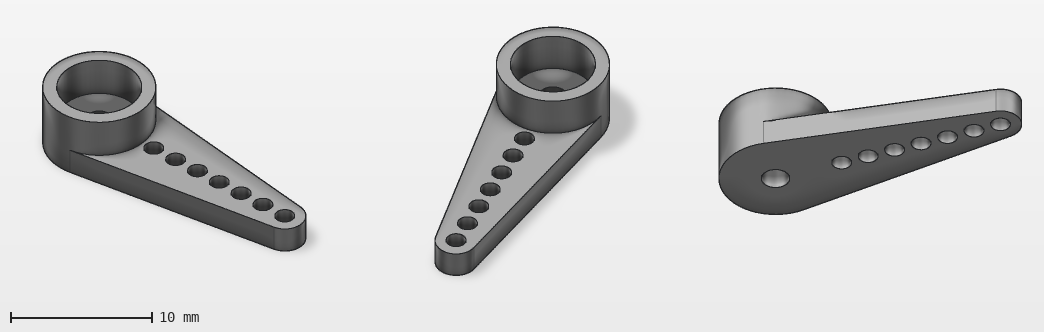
import cadquery as cq
import math

total_length = 22.5
hub_diameter = 8.0
hub_height = 5.0

bore_diameter = 6.0
floor_thickness = 2.0
shaft_hole_diameter = 2.0

arm_thickness = 2.0
tip_diameter = 3.0

link_hole_diameter = 1.4
link_hole_count = 7
first_link_hole_x = 5.0

hub_radius = hub_diameter / 2
tip_radius = tip_diameter / 2
tip_center_x = total_length - hub_radius - tip_radius
link_hole_pitch = (tip_center_x - first_link_hole_x) / (link_hole_count - 1)


def make_hub():
    return cq.Workplane("XY").circle(hub_radius).extrude(hub_height)


def make_arm():
    """Tapered arm whose straight sides are tangent to the hub and to the round tip."""
    tangent_cos = (hub_radius - tip_radius) / tip_center_x
    tangent_sin = math.sqrt(1 - tangent_cos**2)
    hub_x = hub_radius * tangent_cos
    hub_y = hub_radius * tangent_sin
    tip_x = tip_center_x + tip_radius * tangent_cos
    tip_y = tip_radius * tangent_sin
    return (
        cq.Workplane("XY")
        .moveTo(hub_x, -hub_y)
        .lineTo(tip_x, -tip_y)
        .threePointArc((tip_center_x + tip_radius, 0), (tip_x, tip_y))
        .lineTo(hub_x, hub_y)
        .threePointArc((-hub_radius, 0), (hub_x, -hub_y))
        .close()
        .extrude(arm_thickness)
    )


def make_hub_cavity():
    """Blind bore from the top, with a smaller shaft hole through its floor."""
    bore = (
        cq.Workplane("XY", origin=(0, 0, floor_thickness))
        .circle(bore_diameter / 2)
        .extrude(hub_height - floor_thickness)
    )
    shaft_hole = cq.Workplane("XY").circle(shaft_hole_diameter / 2).extrude(hub_height)
    return bore.union(shaft_hole)


def make_link_holes():
    """Evenly spaced through holes, the last one concentric with the tip."""
    centers = [(first_link_hole_x + i * link_hole_pitch, 0) for i in range(link_hole_count)]
    return (
        cq.Workplane("XY")
        .pushPoints(centers)
        .circle(link_hole_diameter / 2)
        .extrude(arm_thickness)
    )


result = make_hub().union(make_arm()).cut(make_hub_cavity()).cut(make_link_holes())